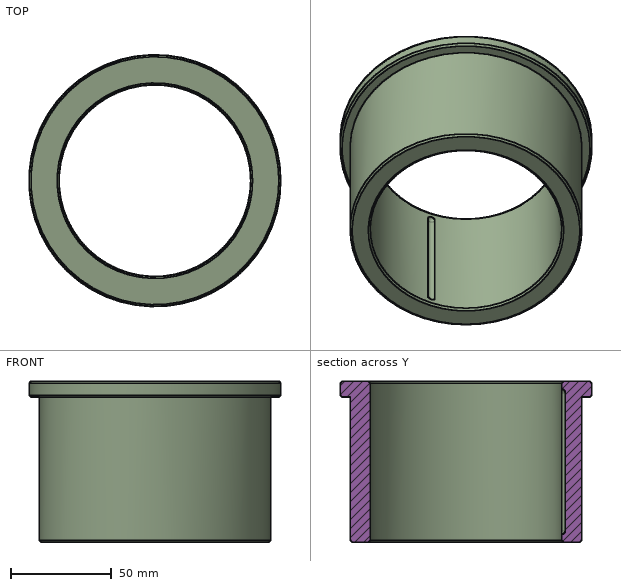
import cadquery as cq

flange_diameter = 125.0
body_diameter = 115.0
bore_diameter = 95.0
total_height = 80.0
flange_thickness = 8.0
edge_chamfer = 1.0
groove_diameter = 3.5
groove_end_margin = 4.0

body_height = total_height - flange_thickness

body = (
    cq.Workplane("XY")
    .circle(body_diameter / 2)
    .extrude(body_height)
    .faces("<Z")
    .chamfer(edge_chamfer)
)

flange = (
    cq.Workplane("XY")
    .workplane(offset=body_height)
    .circle(flange_diameter / 2)
    .extrude(flange_thickness)
    .edges()
    .chamfer(edge_chamfer)
)

bore = cq.Workplane("XY").circle(bore_diameter / 2).extrude(total_height)
bushing = body.union(flange).cut(bore)
bore_mouths = cq.selectors.RadiusNthSelector(0)
bushing = bushing.edges("%CIRCLE").edges(bore_mouths).chamfer(edge_chamfer)

groove_radius = groove_diameter / 2
groove_end_offset = groove_end_margin + groove_radius
groove_bottom = cq.Workplane("XY").workplane(offset=groove_end_offset).center(bore_diameter / 2, 0)
groove = groove_bottom.circle(groove_radius).extrude(total_height - 2 * groove_end_offset)
for ball_height in (groove_end_offset, total_height - groove_end_offset):
    ball = cq.Workplane("XY").sphere(groove_radius).translate((bore_diameter / 2, 0, ball_height))
    groove = groove.union(ball)

result = bushing.cut(groove)